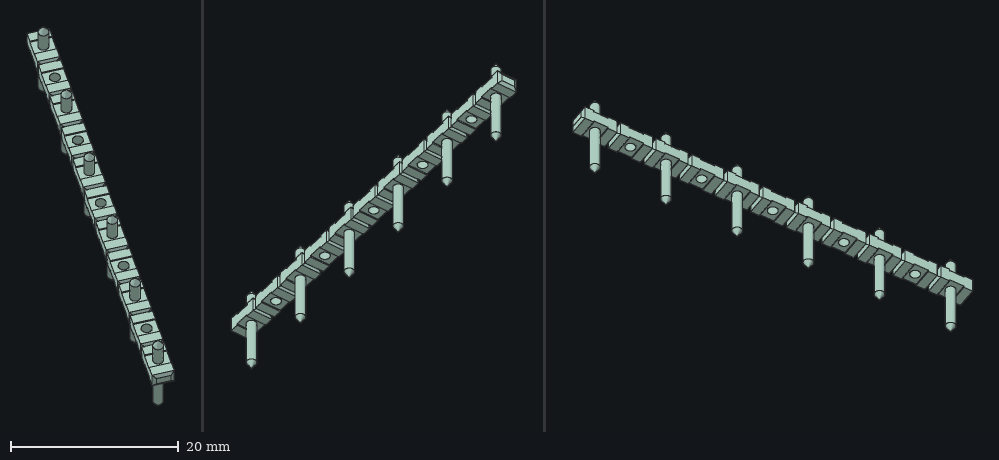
import cadquery as cq

pitch = 5.0
block_count = 11
strip_width = 2.8
strip_height = 2.0

taper_length = 0.25
taper_inset = 0.5

recess_length = 2.0
recess_depth = 0.2

pin_diameter = 1.3
pin_above_strip = 3.5
pin_below_strip = 7.0
tip_length = 1.0

pin_radius = pin_diameter / 2
pin_top = strip_height + pin_above_strip
pin_bottom = -pin_below_strip
first_block_x = -pitch * (block_count - 1) / 2


def tapered_end(direction):
    """Rectangular frustum from the block body out to the block's end face."""
    plane = cq.Plane(
        origin=(direction * (pitch / 2 - taper_length), 0, strip_height / 2),
        xDir=(0, 1, 0),
        normal=(direction, 0, 0),
    )
    return (
        cq.Workplane(plane)
        .rect(strip_width, strip_height)
        .workplane(offset=taper_length)
        .rect(strip_width - 2 * taper_inset, strip_height - 2 * taper_inset)
        .loft(ruled=True, combine=True)
    )


def make_block():
    """One block centred on X = 0, resting on Z = 0."""
    block = cq.Workplane("XY").box(
        pitch - 2 * taper_length, strip_width, strip_height, centered=(True, True, False)
    )
    for direction in (-1, 1):
        block = block.union(tapered_end(direction))
    for recess_bottom in (0, strip_height - recess_depth):
        recess = (
            cq.Workplane("XY", origin=(0, 0, recess_bottom))
            .box(recess_length, strip_width, recess_depth, centered=(True, True, False))
        )
        block = block.cut(recess)
    return block


def cut_hole(block):
    """Open the pin hole through a block."""
    hole = cq.Workplane("XY").circle(pin_radius).extrude(strip_height)
    return block.cut(hole)


def make_pin():
    """Round pin on the Z axis with a conical point at each end."""
    half_profile = (
        cq.Workplane("XZ")
        .moveTo(0, pin_bottom)
        .lineTo(pin_radius, pin_bottom + tip_length)
        .lineTo(pin_radius, pin_top - tip_length)
        .lineTo(0, pin_top)
        .close()
    )
    return half_profile.revolve(360, (0, 0), (0, 1))


plain_block = make_block()
pin_block = plain_block.union(make_pin())
hole_block = cut_hole(plain_block)

result = cq.Workplane("XY")
for index in range(block_count):
    block = pin_block if index % 2 == 0 else hole_block
    result = result.union(block.translate((first_block_x + index * pitch, 0, 0)))